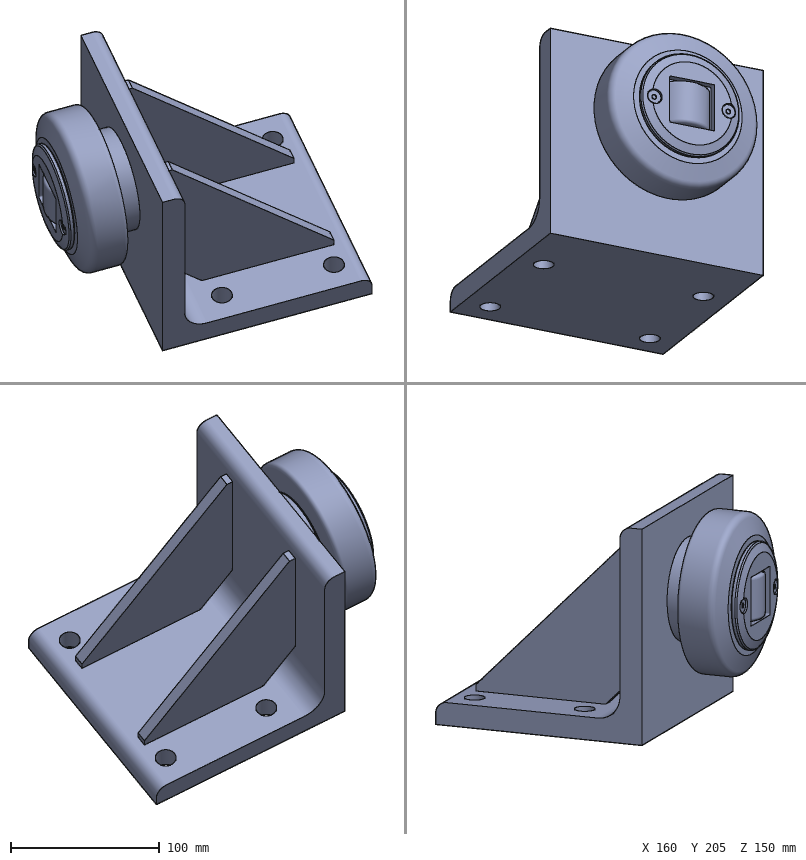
import cadquery as cq
import math

total_depth = 205.0
bracket_width = 160.0
leg_length = 150.0
leg_thickness = 16.0
inner_radius = leg_thickness
tip_radius = leg_thickness / 2
inner_face = leg_thickness

mount_hole_diameter = 14.0
mount_hole_spacing_x = 120.0
mount_hole_spacing_y = 80.1
mount_hole_edge = 20.0

rib_thickness = 8.0
rib_offset = 39.1
rib_reach = leg_length - 14.0
rib_end_height = 4.5
rib_corner_relief = 25.6

wheel_axis_height = leg_length - 60.0
hub_diameter = 71.5
hub_length = 14.3
neck_diameter = 70.5
wheel_start = 15.2
wheel_end = 46.5
wheel_radius = 56.0
wheel_back_fillet = 2.9
wheel_front_fillet = 5.3
wheel_face_radius = 40.8
wheel_cone_angle = math.radians(20)

groove_diameter = 71.0
cap_diameter = 74.0
cap_start = 47.0
cap_bevel = 0.6
cap_rim_end = 49.8
cap_cone_start = 50.8
cap_cone_radius = 36.0
cap_face_radius = 30.0
cap_face = 53.0

front_reach = total_depth - leg_length
pocket_size = 33.8
pocket_depth = 5.3
pocket_corner_radius = 1.0
roller_diameter = 41.0
roller_length = 31.2
roller_fillet = 2.3

screw_offset = 27.9
screw_hole_diameter = 10.5
screw_hole_depth = 3.3
screw_head_diameter = 9.8
screw_head_recess = 1.2
socket_diameter = 3.3
socket_depth = 0.8


def front_plane(distance):
    """Sketch plane on the wheel axis, facing forward, ahead of the bracket."""
    return cq.Workplane("XZ", origin=(0, -distance, wheel_axis_height))


def make_angle():
    angle = (
        cq.Workplane("YZ")
        .moveTo(0, 0)
        .lineTo(leg_length, 0)
        .lineTo(leg_length, leg_thickness - tip_radius)
        .radiusArc((leg_length - tip_radius, leg_thickness), -tip_radius)
        .lineTo(inner_face + inner_radius, leg_thickness)
        .radiusArc((inner_face, leg_thickness + inner_radius), inner_radius)
        .lineTo(inner_face, leg_length - tip_radius)
        .radiusArc((inner_face - tip_radius, leg_length), -tip_radius)
        .lineTo(0, leg_length)
        .close()
        .extrude(bracket_width / 2, both=True)
    )
    mount_holes = (
        cq.Workplane("XY")
        .center(0, leg_length - mount_hole_edge - mount_hole_spacing_y / 2)
        .rarray(mount_hole_spacing_x, mount_hole_spacing_y, 2, 2)
        .circle(mount_hole_diameter / 2)
        .extrude(leg_thickness)
    )
    return angle.cut(mount_holes)


def make_rib(x_center):
    relief_end = inner_face + rib_corner_relief
    slope_end = inner_face + rib_end_height
    outline = [
        (relief_end, inner_face),
        (rib_reach, inner_face),
        (rib_reach, slope_end),
        (slope_end, rib_reach),
        (inner_face, rib_reach),
        (inner_face, relief_end),
    ]
    return (
        cq.Workplane("YZ", origin=(x_center, 0, 0))
        .polyline(outline)
        .close()
        .extrude(rib_thickness / 2, both=True)
    )


def make_wheel():
    """Hub, wheel and cap as one profile turned about the wheel axis."""
    cone_radius = wheel_radius - wheel_front_fillet * (1 - math.sin(wheel_cone_angle))
    cone_start = wheel_end - (cone_radius - wheel_face_radius) * math.tan(wheel_cone_angle)
    fillet_start = cone_start - wheel_front_fillet * math.cos(wheel_cone_angle)
    profile = (
        cq.Workplane("XY")
        .moveTo(0, 0)
        .lineTo(hub_diameter / 2, 0)
        .lineTo(hub_diameter / 2, -hub_length)
        .lineTo(neck_diameter / 2, -hub_length)
        .lineTo(neck_diameter / 2, -wheel_start)
        .lineTo(wheel_radius - wheel_back_fillet, -wheel_start)
        .radiusArc((wheel_radius, -wheel_start - wheel_back_fillet), wheel_back_fillet)
        .lineTo(wheel_radius, -fillet_start)
        .radiusArc((cone_radius, -cone_start), wheel_front_fillet)
        .lineTo(wheel_face_radius, -wheel_end)
        .lineTo(groove_diameter / 2, -wheel_end)
        .lineTo(groove_diameter / 2, -cap_start)
        .lineTo(cap_diameter / 2 - cap_bevel, -cap_start)
        .lineTo(cap_diameter / 2, -cap_start - cap_bevel)
        .lineTo(cap_diameter / 2, -cap_rim_end)
        .lineTo(cap_cone_radius, -cap_cone_start)
        .lineTo(cap_face_radius, -cap_face)
        .lineTo(0, -cap_face)
        .close()
    )
    wheel = profile.revolve(360, (0, 0, 0), (0, 1, 0))
    return wheel.translate((0, 0, wheel_axis_height))


def make_pocket():
    return (
        front_plane(cap_face)
        .rect(pocket_size, pocket_size)
        .extrude(-pocket_depth)
        .edges("|Y")
        .fillet(pocket_corner_radius)
    )


def make_roller():
    """Upright guide roller that stands slightly proud of the cap."""
    roller_axis = front_reach - roller_diameter / 2
    return (
        cq.Workplane("XY", origin=(0, -roller_axis, wheel_axis_height - roller_length / 2))
        .circle(roller_diameter / 2)
        .extrude(roller_length)
        .edges()
        .fillet(roller_fillet)
    )


def make_screw_recess(x_center):
    """Sunk ring around a screw head, the space above it and its socket."""
    hole = (
        front_plane(cap_face)
        .center(x_center, 0)
        .circle(screw_hole_diameter / 2)
        .extrude(-screw_hole_depth)
    )
    head = (
        front_plane(cap_face - screw_hole_depth)
        .center(x_center, 0)
        .circle(screw_head_diameter / 2)
        .extrude(screw_hole_depth - screw_head_recess)
    )
    socket = (
        front_plane(cap_face - screw_head_recess)
        .center(x_center, 0)
        .circle(socket_diameter / 2)
        .extrude(-socket_depth)
    )
    return hole.cut(head).union(socket)


bracket = make_angle()
wheel_unit = make_wheel().cut(make_pocket()).union(make_roller())
for side in (-1, 1):
    bracket = bracket.union(make_rib(side * rib_offset))
    wheel_unit = wheel_unit.cut(make_screw_recess(side * screw_offset))

result = bracket.union(wheel_unit)